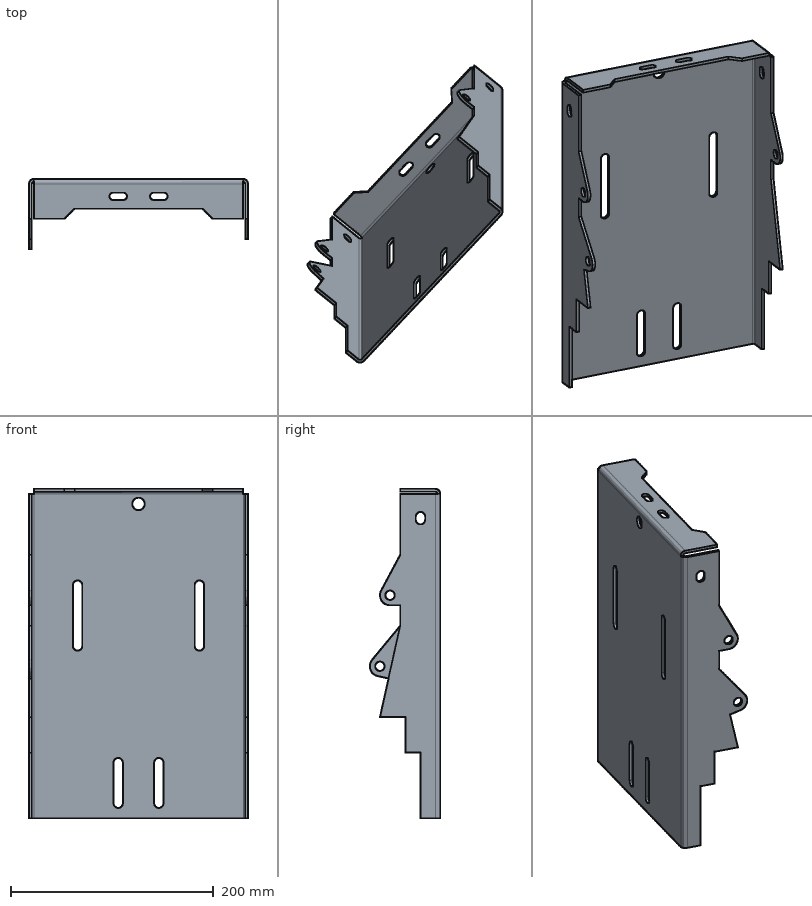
import cadquery as cq
import math


width = 216.0
height = 325.0
thickness = 3.0
bend_inner_radius = 2.0
bend_outer_radius = bend_inner_radius + thickness

upper_depth = 39.5
tip_depth = 59.5
tip_z = 100.0
middle_step_depth = 34.5
middle_step_z = 65.0
bottom_depth = 19.5
taper_start_z = 190.0
side_top_z = height - bend_outer_radius

tab_radius = 10.0
tab_hole_diameter = 9.0
upper_tab_depth = tip_depth - tab_radius
upper_tab_z = 220.0
upper_tab_start_z = 260.0
lower_tab_depth = 59.5
lower_tab_z = 150.0

side_slot_length = 12.0
side_slot_width = 9.0
side_slot_depth = 19.5
side_slot_z = 296.0

top_half_width = width / 2 - bend_outer_radius
top_notch_depth = 29.5
top_notch_half_width = 63.0
top_slot_length = 17.0
top_slot_width = 7.0
top_slot_x = 20.0
top_slot_depth = 17.25

back_hole_diameter = 12.0
back_hole_z = 310.0
back_slot_width = 9.0
upper_slot_x = 60.0
upper_slot_z = 200.0
upper_slot_length = 69.0
lower_slot_x = 20.0
lower_slot_z = 35.0
lower_slot_length = 49.0


side_plane = cq.Plane(origin=(width / 2, 0, 0), xDir=(0, -1, 0), normal=(-1, 0, 0))


def unit(vector):
    length = math.hypot(*vector)
    return (vector[0] / length, vector[1] / length)


def offset(point, direction, distance):
    return (point[0] + direction[0] * distance, point[1] + direction[1] * distance)


def upper_tangent_point(start, center, radius):
    """Touch point, on the outward side, of the line from start to the circle."""
    to_start = (start[0] - center[0], start[1] - center[1])
    half_angle = math.acos(radius / math.hypot(*to_start))
    angle = math.atan2(to_start[1], to_start[0]) - half_angle
    return offset(center, (math.cos(angle), math.sin(angle)), radius)


def bent_strip(plane, leg_depth, length):
    """Folded sheet without the plate: local x points outward across the fold, local y is -depth."""
    return (
        cq.Workplane(plane)
        .moveTo(-bend_outer_radius, 0)
        .radiusArc((0, -bend_outer_radius), bend_outer_radius)
        .lineTo(0, -leg_depth)
        .lineTo(-thickness, -leg_depth)
        .lineTo(-thickness, -bend_outer_radius)
        .radiusArc((-bend_outer_radius, -thickness), -bend_inner_radius)
        .close()
        .extrude(length)
    )


def side_outline(with_lower_tab):
    """Side flange outline in depth and height."""
    outward = (1, 0)
    downward = (0, -1)
    upper_center = (upper_tab_depth, upper_tab_z)
    upper_start = (upper_depth, upper_tab_start_z)
    taper_start = (upper_depth, taper_start_z)
    tip = (tip_depth, tip_z)

    outline = (
        cq.Workplane(side_plane)
        .moveTo(0, 0)
        .lineTo(0, side_top_z)
        .lineTo(upper_depth, side_top_z)
        .lineTo(*upper_start)
        .lineTo(*upper_tangent_point(upper_start, upper_center, tab_radius))
        .threePointArc(
            offset(upper_center, outward, tab_radius),
            offset(upper_center, downward, tab_radius),
        )
        .lineTo(upper_depth, upper_tab_z - tab_radius)
        .lineTo(*taper_start)
    )
    if with_lower_tab:
        center = (lower_tab_depth, lower_tab_z)
        taper = unit((tip[0] - taper_start[0], tip[1] - taper_start[1]))
        underside_end = offset(center, taper, tab_radius)
        along_taper = (
            (underside_end[0] - taper_start[0]) * taper[0]
            + (underside_end[1] - taper_start[1]) * taper[1]
        )
        outline = (
            outline.lineTo(*upper_tangent_point(taper_start, center, tab_radius))
            .threePointArc(offset(center, outward, tab_radius), underside_end)
            .lineTo(*offset(taper_start, taper, along_taper))
        )
    return (
        outline.lineTo(*tip)
        .lineTo(middle_step_depth, tip_z)
        .lineTo(middle_step_depth, middle_step_z)
        .lineTo(bottom_depth, middle_step_z)
        .lineTo(bottom_depth, 0)
        .close()
    )


def side_flange(with_lower_tab):
    """Flange on the +X side with its bend, trimmed to the outline and pierced."""
    fold_plane = cq.Plane(origin=(width / 2, 0, 0), xDir=(1, 0, 0), normal=(0, 0, 1))
    flange_depth = lower_tab_depth + tab_radius
    sheet = bent_strip(fold_plane, flange_depth, side_top_z)
    flange = sheet.intersect(side_outline(with_lower_tab).extrude(bend_outer_radius))

    hole_centers = [(upper_tab_depth, upper_tab_z)]
    if with_lower_tab:
        hole_centers.append((lower_tab_depth, lower_tab_z))
    holes = (
        cq.Workplane(side_plane)
        .pushPoints(hole_centers)
        .circle(tab_hole_diameter / 2)
        .extrude(thickness)
    )
    slot = (
        cq.Workplane(side_plane)
        .center(side_slot_depth, side_slot_z)
        .slot2D(side_slot_length, side_slot_width, 90)
        .extrude(thickness)
    )
    return flange.cut(holes).cut(slot)


def top_flange():
    """Flange on the top edge with its bend, a wide notch in the free edge and two slots."""
    fold_plane = cq.Plane(origin=(-top_half_width, 0, height), xDir=(0, 0, 1), normal=(-1, 0, 0))
    sheet = bent_strip(fold_plane, upper_depth, -2 * top_half_width)

    notch_flare = upper_depth - top_notch_depth
    notch = (
        cq.Workplane("XY")
        .moveTo(-top_notch_half_width, -top_notch_depth)
        .lineTo(top_notch_half_width, -top_notch_depth)
        .lineTo(top_notch_half_width + notch_flare, -upper_depth)
        .lineTo(-top_notch_half_width - notch_flare, -upper_depth)
        .close()
        .extrude(height)
    )
    slots = (
        cq.Workplane("XY", origin=(0, 0, height - thickness))
        .pushPoints([(-top_slot_x, -top_slot_depth), (top_slot_x, -top_slot_depth)])
        .slot2D(top_slot_length, top_slot_width)
        .extrude(thickness)
    )
    return sheet.cut(notch).cut(slots)


def slot_pair(x, z, length):
    """Two upright slots through the back plate, either side of the middle."""
    return (
        cq.Workplane("XZ")
        .pushPoints([(-x, z), (x, z)])
        .slot2D(length, back_slot_width, 90)
        .extrude(thickness)
    )


def back_plate():
    """Flat back plate between the bends, with one round hole and four slots."""
    plate_height = height - bend_outer_radius
    plate = (
        cq.Workplane("XZ")
        .center(0, plate_height / 2)
        .rect(2 * top_half_width, plate_height)
        .extrude(thickness)
    )
    hole = (
        cq.Workplane("XZ")
        .center(0, back_hole_z)
        .circle(back_hole_diameter / 2)
        .extrude(thickness)
    )
    upper_slots = slot_pair(upper_slot_x, upper_slot_z, upper_slot_length)
    lower_slots = slot_pair(lower_slot_x, lower_slot_z, lower_slot_length)
    return plate.cut(hole).cut(upper_slots).cut(lower_slots)


right_flange = side_flange(with_lower_tab=False)
left_flange = side_flange(with_lower_tab=True).mirror("YZ")
result = back_plate().union(right_flange).union(left_flange).union(top_flange())